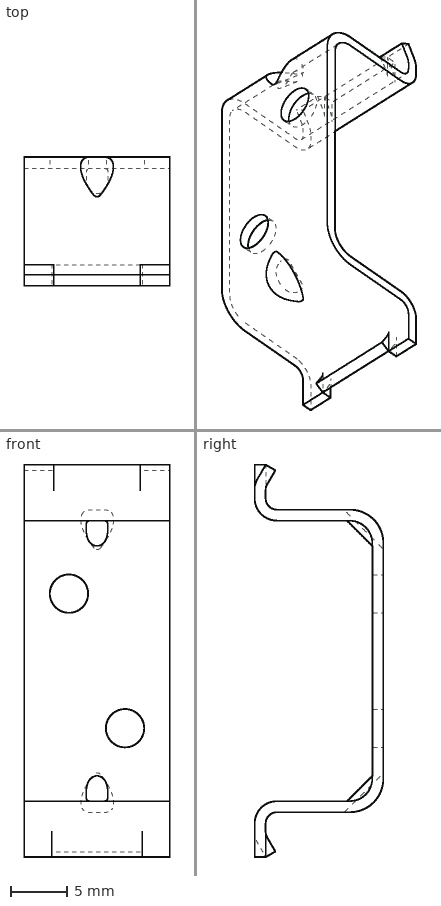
import cadquery as cq
import math

width = 13.0
depth = 11.5
height = 35.0
sheet = 1.0

lip_height = 4.0
back_bend_inner = 2.0
back_bend_outer = back_bend_inner + sheet
lip_bend_inner = 1.0
lip_bend_outer = lip_bend_inner + sheet

tab_angle = 30.0
tab_bend_inner = 1.0
tab_bend_outer = tab_bend_inner + sheet
tab_drop = 2.27
top_lip_straight_width = 7.75
bottom_tab_width = 8.1

hole_diameter = 3.4
hole_offset_x = 2.5
hole_offset_z = 6.0

ridge_reach = 2.25
ridge_radius = 1.0
dent_radius = 0.5
dent_half_angle = 45.0
dent_cut_size = 3.0

front = -depth
half_height = height / 2
flange_outer = half_height - lip_height
flange_inner = flange_outer - sheet
tab_start = half_height - tab_drop


def extrude_x(profile, x_start, x_end):
    """Extrude a closed YZ profile between two X positions."""
    return profile.extrude(x_end - x_start).translate((x_start, 0, 0))


def mirror_down(body):
    return body.mirror("XY")


def bend_arc(profile, center, radius, start_angle, end_angle):
    """Line to the start of an arc about center in YZ, then follow the arc."""
    middle_angle = (start_angle + end_angle) / 2
    points = []
    for angle in (start_angle, middle_angle, end_angle):
        a = math.radians(angle)
        points.append((center[0] + radius * math.cos(a), center[1] + radius * math.sin(a)))
    return profile.lineTo(*points[0]).threePointArc(points[1], points[2])


def make_upper_channel():
    """Upper half of the bent strip, ending where the tab bends start."""
    back_center = (-back_bend_outer, flange_outer - back_bend_outer)
    lip_center = (front + lip_bend_outer, flange_inner + lip_bend_outer)
    profile = cq.Workplane("YZ").moveTo(0, 0)
    profile = bend_arc(profile, back_center, back_bend_outer, 0, 90)
    profile = bend_arc(profile, lip_center, lip_bend_inner, 270, 180)
    profile = profile.lineTo(front + sheet, tab_start).lineTo(front, tab_start)
    profile = bend_arc(profile, lip_center, lip_bend_outer, 180, 270)
    profile = bend_arc(profile, back_center, back_bend_inner, 90, 0)
    profile = profile.lineTo(-sheet, 0).close()
    return extrude_x(profile, -width / 2, width / 2)


def make_straight_lip(x_start, x_end):
    """Flat end of the upper lip."""
    profile = (
        cq.Workplane("YZ")
        .moveTo(front, tab_start)
        .lineTo(front, half_height)
        .lineTo(front + sheet, half_height)
        .lineTo(front + sheet, tab_start)
        .close()
    )
    return extrude_x(profile, x_start, x_end)


def make_bent_tab(x_start, x_end):
    """End of the upper lip tilted towards the back, its outer edge level with the lip edge."""
    tilt = math.radians(tab_angle)
    center = (front + tab_bend_outer, tab_start)
    rise = half_height - tab_start - tab_bend_outer * math.sin(tilt)
    outer_edge_y = center[0] - tab_bend_outer * math.cos(tilt) + rise * math.tan(tilt)
    inner_edge = (outer_edge_y + sheet * math.cos(tilt), half_height - sheet * math.sin(tilt))
    profile = cq.Workplane("YZ").moveTo(front + sheet, tab_start)
    profile = bend_arc(profile, center, tab_bend_outer, 180, 180 - tab_angle)
    profile = profile.lineTo(outer_edge_y, half_height).lineTo(*inner_edge)
    profile = bend_arc(profile, center, tab_bend_inner, 180 - tab_angle, 180)
    return extrude_x(profile.close(), x_start, x_end)


def make_top_lip():
    split = top_lip_straight_width / 2
    lip = make_straight_lip(-split, split)
    for x_start, x_end in ((-width / 2, -split), (split, width / 2)):
        lip = lip.union(make_bent_tab(x_start, x_end))
    return lip


def make_bottom_lip():
    split = bottom_tab_width / 2
    lip = make_bent_tab(-split, split)
    for x_start, x_end in ((-width / 2, -split), (split, width / 2)):
        lip = lip.union(make_straight_lip(x_start, x_end))
    return mirror_down(lip)


ridge_from_corner = ridge_reach / math.sqrt(2) + sheet * math.sqrt(2)
dent_axis_from_corner = ridge_from_corner - ridge_radius
dent_plane = cq.Plane(origin=(0, 0, flange_outer), xDir=(1, 0, 0), normal=(0, 1, -1))
dent_half_length = ridge_from_corner + ridge_radius


def make_ridge():
    """Round bar along the dent axis, trimmed to end within the sheet thickness."""
    bar = (
        cq.Workplane(dent_plane)
        .center(0, dent_axis_from_corner)
        .circle(ridge_radius)
        .extrude(dent_half_length, both=True)
    )
    corner_room = cq.Workplane("XY").box(width, depth, half_height, centered=(True, False, False))
    corner_room = corner_room.translate((0, front - sheet / 2, flange_outer - sheet / 2 - half_height))
    return bar.intersect(corner_room)


def make_dent():
    """V groove with a rounded bottom, concentric with the ridge."""
    half_angle = math.radians(dent_half_angle)
    tangent_x = dent_radius * math.cos(half_angle)
    tangent_y = dent_radius * math.sin(half_angle)
    flank_x = tangent_x + dent_cut_size * math.sin(half_angle)
    flank_y = tangent_y - dent_cut_size * math.cos(half_angle)
    return (
        cq.Workplane(dent_plane)
        .center(0, dent_axis_from_corner)
        .moveTo(-flank_x, flank_y)
        .lineTo(-tangent_x, tangent_y)
        .threePointArc((0, dent_radius), (tangent_x, tangent_y))
        .lineTo(flank_x, flank_y)
        .close()
        .extrude(dent_half_length, both=True)
    )


def make_holes():
    """Two holes through the back, on opposite sides of its centre."""
    return (
        cq.Workplane("XZ")
        .pushPoints([(-hole_offset_x, hole_offset_z), (hole_offset_x, -hole_offset_z)])
        .circle(hole_diameter / 2)
        .extrude(sheet)
    )


upper_half = make_upper_channel().union(make_ridge()).cut(make_dent())
bracket = upper_half.union(mirror_down(upper_half))
bracket = bracket.union(make_top_lip()).union(make_bottom_lip())
result = bracket.cut(make_holes())